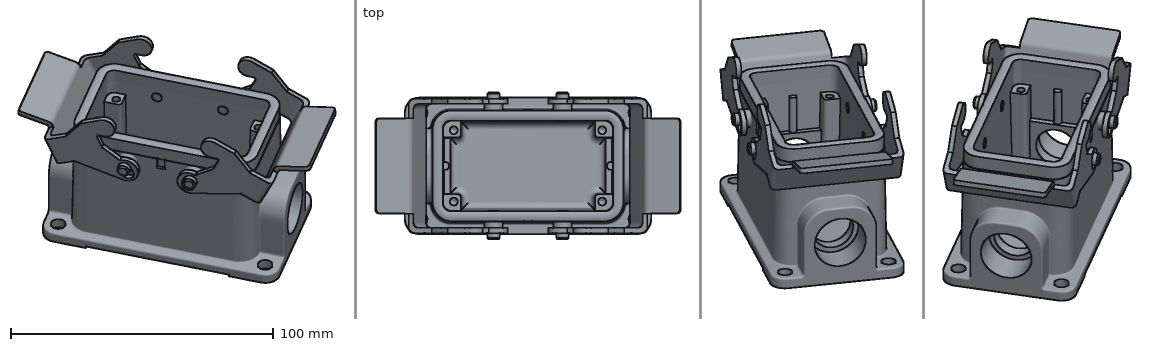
import cadquery as cq
import math

PLATE_LENGTH = 94.0
PLATE_WIDTH = 52.2
PLATE_HEIGHT = 4.2
PLATE_CORNER_RADIUS = 5.8
PLATE_EDGE_RADIUS = 0.8
RELIEF_LENGTH = 57.0
RELIEF_DEPTH = 0.8
MOUNT_HOLE_DIAMETER = 5.6
MOUNT_HOLE_X = PLATE_LENGTH / 2 - PLATE_CORNER_RADIUS
MOUNT_HOLE_Y = PLATE_WIDTH / 2 - PLATE_CORNER_RADIUS

BODY_LENGTH = 74.6
BODY_WIDTH = 44.2
BODY_CORNER_RADIUS = 8.0
DRAFT_ANGLE = 1.0
SHOULDER_Z = 47.8
BODY_BASE_Z = PLATE_HEIGHT / 2
RIM_STEP = 0.2
RIM_SET_BACK = (SHOULDER_Z - BODY_BASE_Z) * math.tan(math.radians(DRAFT_ANGLE)) + RIM_STEP
RIM_LENGTH = BODY_LENGTH - 2 * RIM_SET_BACK
RIM_WIDTH = BODY_WIDTH - 2 * RIM_SET_BACK
RIM_CORNER_RADIUS = BODY_CORNER_RADIUS - RIM_SET_BACK
RIM_WALL = 3.8
RIM_EDGE_Z = 53.35
RIM_CROWN = 0.5
RIM_TOP_Z = RIM_EDGE_Z + RIM_CROWN
BODY_FOOT_RADIUS = 0.6

ENTRY_WIDTH = 28.6
ENTRY_TOP_Z = 31.7
ENTRY_CORNER_RADIUS = 10.1
ENTRY_FOOT_RADIUS = 1.0
BORE_Z = 17.2
BORE_DIAMETER = 20.0
BORE_DEPTH = 12.6
PASSAGE_DIAMETER = 16.0

CAVITY_LENGTH = RIM_LENGTH - 2 * RIM_WALL
CAVITY_WIDTH = RIM_WIDTH - 2 * RIM_WALL
CAVITY_CORNER_RADIUS = RIM_CORNER_RADIUS - RIM_WALL
CAVITY_DRAFT_ANGLE = 1.5
FLOOR_Z = 4.0
FLOOR_RADIUS = 2.4
POST_TOP_Z = 42.2
POST_INNER_X = 24.9
POST_INNER_Y = 10.2
POST_CORNER_RADIUS = 1.9
POST_DRAFT_ANGLE = 1.0
SCREW_HOLE_X = 28.3
SCREW_HOLE_Y = 13.6
SCREW_HOLE_DIAMETER = 3.0
SCREW_HOLE_DEPTH = 12.0
DRILL_POINT_ANGLE = 118.0
LEDGE_INNER_X = 29.3
LEDGE_TOP_Z = 27.5
GUIDE_RIB_DIAMETER = 3.0
GUIDE_RIB_X = 31.6

PIN_X = 13.15
PIN_Z = 44.0
PIN_DIAMETER = 4.8
PIN_SPAN = 56.06
PIN_CHAMFER = 0.6
PIN_INNER_DIAMETER = 4.0
PIN_INNER_Y = CAVITY_WIDTH / 2 - 0.25
PIVOT_BOSS_DIAMETER = 7.0
PIVOT_FOOT_RADIUS = 0.4
NOTCH_WIDTH = 3.2
NOTCH_HEIGHT = 4.5
NOTCH_DEPTH = 1.0

SHEET = 2.0
LEVER_WIDTH = 51.2
LEVER_INNER_Y = LEVER_WIDTH / 2 - SHEET
LEVER_TILT = 24.0
WEB_TOP = (-45.5, 49.9)
WEB_HEIGHT = 11.9
BEND_RADIUS = 2.0
HANDLE_WIDTH = 36.3
HANDLE_TIP_X = -58.205
HANDLE_SLOPE = 12.0
LEFT_HANDLE_RISE = 1.15
RIGHT_HANDLE_RISE = 1.6
HANDLE_BEND_RADIUS = 0.7
HANDLE_CORNER_RADIUS = 1.5
EYE_CENTER = (-12.8, 42.7)
EYE_RADIUS = 5.0
SLOT_WIDTH = 5.0
SLOT_END = (-12.0, 41.5)
HOOK_CENTER = (-21.2, 61.84)
HOOK_RADIUS = 4.0
HOOK_SHOULDER = (-30.6, 61.9)
ARM_TOP_EDGE = 9.6
HOOK_THROAT = (-24.7, HOOK_CENTER[1] - HOOK_RADIUS)
THROAT_RADIUS = 1.0
THROAT_LOWER = (-22.15, 52.1)
EYE_MEETING = (-15.0, 47.2)
ARM_LOWER_EDGE = 8.2


def rounded_block(length, width, radius, bottom_z, top_z, draft=0.0):
    """Upright block with rounded corners, narrowing upward by the draft angle."""
    outline = cq.Sketch().rect(length, width).vertices().fillet(radius)
    block = cq.Workplane("XY").placeSketch(outline).extrude(top_z - bottom_z, taper=draft)
    return block.translate((0, 0, bottom_z))


def y_cylinder(x, z, diameter, start_y, end_y):
    """Cylinder along Y between two Y positions."""
    disc = cq.Workplane("XZ", origin=(x, start_y, z)).circle(diameter / 2)
    return disc.extrude(start_y - end_y)


def x_cylinder(diameter, start_x, end_x):
    """Cylinder along X on the cable entry axis."""
    disc = cq.Workplane("YZ", origin=(start_x, 0, BORE_Z)).circle(diameter / 2)
    return disc.extrude(end_x - start_x)


def base_with_entries():
    """Mounting plate with the arched cable entries flush with both of its ends."""
    base = rounded_block(PLATE_LENGTH, PLATE_WIDTH, PLATE_CORNER_RADIUS, 0, PLATE_HEIGHT)
    entries = (
        cq.Workplane("YZ")
        .center(0, ENTRY_TOP_Z / 2)
        .rect(ENTRY_WIDTH, ENTRY_TOP_Z)
        .extrude(PLATE_LENGTH / 2, both=True)
        .edges("|X and >Z")
        .fillet(ENTRY_CORNER_RADIUS)
    )
    base = base.union(entries)
    foot_edges = cq.selectors.BoxSelector(
        (-PLATE_LENGTH, -ENTRY_WIDTH / 2 - 0.1, PLATE_HEIGHT - 0.1),
        (PLATE_LENGTH, ENTRY_WIDTH / 2 + 0.1, PLATE_HEIGHT + 0.1),
    )
    base = base.edges("|X").edges(foot_edges).fillet(ENTRY_FOOT_RADIUS)
    upper_edges = cq.selectors.BoxSelector(
        (-PLATE_LENGTH, -PLATE_WIDTH, PLATE_HEIGHT - 0.1),
        (PLATE_LENGTH, PLATE_WIDTH, ENTRY_TOP_Z + 0.1),
    )
    rim_edges = base.edges("<X or >X or <Y or >Y").edges(upper_edges)
    return rim_edges.fillet(PLATE_EDGE_RADIUS)


def rim_crown():
    """Shallow arched cap that runs around the top of the rim."""
    middle_y = (RIM_WIDTH - RIM_WALL) / 2
    middle_line = cq.Sketch().rect(RIM_LENGTH - RIM_WALL, RIM_WIDTH - RIM_WALL)
    middle_line = middle_line.vertices().fillet(RIM_CORNER_RADIUS - RIM_WALL / 2)
    path = cq.Workplane("XY", origin=(0, 0, RIM_EDGE_Z)).placeSketch(middle_line).extrude(1).faces("<Z").wires()
    crown = (
        cq.Workplane("YZ")
        .moveTo(-middle_y - RIM_WALL / 2, RIM_EDGE_Z)
        .threePointArc((-middle_y, RIM_TOP_Z), (-middle_y + RIM_WALL / 2, RIM_EDGE_Z))
        .close()
    )
    return crown.sweep(path)


def walls():
    """Drafted housing walls with the slightly set-back rim on top."""
    body = rounded_block(BODY_LENGTH, BODY_WIDTH, BODY_CORNER_RADIUS, BODY_BASE_Z, SHOULDER_Z, DRAFT_ANGLE)
    rim = rounded_block(RIM_LENGTH, RIM_WIDTH, RIM_CORNER_RADIUS, SHOULDER_Z, RIM_EDGE_Z)
    return body.union(rim)


def cavity():
    """Open space inside the walls: a drafted pocket less the posts, ledges and guide ribs."""
    inset = (SHOULDER_Z - FLOOR_Z) * math.tan(math.radians(CAVITY_DRAFT_ANGLE))
    space = rounded_block(
        CAVITY_LENGTH - 2 * inset,
        CAVITY_WIDTH - 2 * inset,
        CAVITY_CORNER_RADIUS - inset,
        FLOOR_Z,
        SHOULDER_Z,
        -CAVITY_DRAFT_ANGLE,
    )
    for side_x in (-1, 1):
        ledge = (
            cq.Workplane("XY", origin=(side_x * (LEDGE_INNER_X + CAVITY_WIDTH), 0, FLOOR_Z))
            .rect(2 * CAVITY_WIDTH, 2 * CAVITY_WIDTH)
            .extrude(LEDGE_TOP_Z - FLOOR_Z, taper=POST_DRAFT_ANGLE)
        )
        space = space.cut(ledge)
        for side_y in (-1, 1):
            post = rounded_block(
                CAVITY_WIDTH, CAVITY_WIDTH, POST_CORNER_RADIUS, FLOOR_Z, POST_TOP_Z, POST_DRAFT_ANGLE
            )
            center_x = side_x * (POST_INNER_X + CAVITY_WIDTH / 2)
            center_y = side_y * (POST_INNER_Y + CAVITY_WIDTH / 2)
            space = space.cut(post.translate((center_x, center_y, 0)))
    space = space.faces("<Z").edges().fillet(FLOOR_RADIUS)
    for side_x in (-1, 1):
        guide_rib = (
            cq.Workplane("XY", origin=(side_x * GUIDE_RIB_X, 0, LEDGE_TOP_Z))
            .circle(GUIDE_RIB_DIAMETER / 2)
            .extrude(POST_TOP_Z - LEDGE_TOP_Z)
        )
        space = space.cut(guide_rib)
    opening = rounded_block(CAVITY_LENGTH, CAVITY_WIDTH, CAVITY_CORNER_RADIUS, SHOULDER_Z, RIM_EDGE_Z)
    return space.union(opening)


def screw_hole():
    """Blind drilled hole, pointing down, with its mouth at the origin."""
    radius = SCREW_HOLE_DIAMETER / 2
    point_height = radius / math.tan(math.radians(DRILL_POINT_ANGLE / 2))
    profile = [
        (0, 0),
        (radius, 0),
        (radius, -SCREW_HOLE_DEPTH),
        (0, -SCREW_HOLE_DEPTH - point_height),
    ]
    return cq.Workplane("XZ").polyline(profile).close().revolve(360, (0, 0), (0, 1))


def make_housing():
    """Housing with base, walls, cavity, cable entries and the integral pivot pins."""
    housing = base_with_entries().union(walls())

    foot_z = PLATE_HEIGHT
    foot = cq.selectors.BoxSelector(
        (-BODY_LENGTH / 2, -BODY_WIDTH / 2 - 0.2, foot_z - 0.1),
        (BODY_LENGTH / 2, BODY_WIDTH / 2 + 0.2, foot_z + 0.1),
    )
    housing = housing.edges(foot).fillet(BODY_FOOT_RADIUS)

    housing = housing.cut(cavity()).union(rim_crown())

    relief = cq.Workplane("XY").box(RELIEF_LENGTH, PLATE_WIDTH, 2 * RELIEF_DEPTH)
    mount_holes = (
        cq.Workplane("XY")
        .rect(2 * MOUNT_HOLE_X, 2 * MOUNT_HOLE_Y, forConstruction=True)
        .vertices()
        .circle(MOUNT_HOLE_DIAMETER / 2)
        .extrude(2 * PLATE_HEIGHT)
    )
    housing = housing.cut(relief).cut(mount_holes)

    for side_x in (-1, 1):
        end_x = side_x * PLATE_LENGTH / 2
        housing = housing.cut(x_cylinder(BORE_DIAMETER, end_x, end_x - side_x * BORE_DEPTH))
        housing = housing.cut(x_cylinder(PASSAGE_DIAMETER, end_x, side_x * POST_INNER_X))
        for side_y in (-1, 1):
            hole = screw_hole().translate((side_x * SCREW_HOLE_X, side_y * SCREW_HOLE_Y, POST_TOP_Z))
            housing = housing.cut(hole)
            housing = housing.union(pivot(side_x * PIN_X, side_y))

    wall_foot = cq.selectors.BoxSelector(
        (-2 * PIN_X, -BODY_WIDTH / 2, PIN_Z - 0.1), (2 * PIN_X, BODY_WIDTH / 2, PIN_Z + 0.1)
    ) - cq.selectors.BoxSelector(
        (-2 * PIN_X, -CAVITY_WIDTH / 2 - 0.5, 0), (2 * PIN_X, CAVITY_WIDTH / 2 + 0.5, RIM_TOP_Z)
    )
    housing = housing.edges(wall_foot).fillet(PIVOT_FOOT_RADIUS)

    notch_bottom_y = BODY_WIDTH / 2 - SHOULDER_Z * math.tan(math.radians(DRAFT_ANGLE)) - NOTCH_DEPTH
    for side_y in (-1, 1):
        notch = cq.Workplane("XY").box(NOTCH_WIDTH, 2 * NOTCH_DEPTH, NOTCH_HEIGHT)
        housing = housing.cut(
            notch.translate((0, side_y * (notch_bottom_y + NOTCH_DEPTH), SHOULDER_Z - NOTCH_HEIGHT / 2))
        )
    return housing


def pivot(x, side_y):
    """Round boss and chamfered pin on one long wall, the pin root showing inside the wall."""
    wall_middle_y = (BODY_WIDTH + CAVITY_WIDTH) / 4
    boss = y_cylinder(x, PIN_Z, PIVOT_BOSS_DIAMETER, side_y * wall_middle_y, side_y * LEVER_INNER_Y)
    pin = y_cylinder(x, PIN_Z, PIN_DIAMETER, side_y * wall_middle_y, side_y * PIN_SPAN / 2)
    tip = "<Y" if side_y < 0 else ">Y"
    pin = pin.faces(tip).chamfer(PIN_CHAMFER)
    root = y_cylinder(x, PIN_Z, PIN_INNER_DIAMETER, side_y * PIN_INNER_Y, side_y * wall_middle_y)
    return boss.union(pin).union(root)


def shift(point, angle, distance):
    """Point moved by a distance in the direction of an angle, in degrees."""
    direction = math.radians(angle)
    return (point[0] + distance * math.cos(direction), point[1] + distance * math.sin(direction))


def lever_plate(outline, start_y, end_y):
    """Extrude a closed XZ outline between two Y positions."""
    return outline.extrude(end_y - start_y).translate((0, end_y, 0))


def arm_outline(web_bottom):
    """Side outline of an arm: web end, hook and pivot eye."""
    lower_bend = shift(web_bottom, LEVER_TILT, ARM_LOWER_EDGE)
    top_direction = math.degrees(
        math.atan2(HOOK_CENTER[1] - HOOK_SHOULDER[1], HOOK_CENTER[0] - HOOK_SHOULDER[0])
    )
    reach = math.dist(HOOK_CENTER, HOOK_SHOULDER)
    hook_turn = math.degrees(math.acos(HOOK_RADIUS / reach))
    hook_start = shift(HOOK_CENTER, top_direction + 180 - hook_turn, HOOK_RADIUS)
    hook_end = (HOOK_CENTER[0], HOOK_CENTER[1] - HOOK_RADIUS)
    eye_direction = math.degrees(
        math.atan2(EYE_CENTER[1] - lower_bend[1], EYE_CENTER[0] - lower_bend[0])
    )
    eye_reach = math.dist(EYE_CENTER, lower_bend)
    eye_turn = math.degrees(math.acos(EYE_RADIUS / eye_reach))
    eye_end = shift(EYE_CENTER, eye_direction + 180 + eye_turn, EYE_RADIUS)
    return (
        cq.Workplane("XZ")
        .moveTo(*web_bottom)
        .lineTo(*WEB_TOP)
        .lineTo(*shift(WEB_TOP, LEVER_TILT, ARM_TOP_EDGE))
        .lineTo(*HOOK_SHOULDER)
        .lineTo(*hook_start)
        .threePointArc((HOOK_CENTER[0] + HOOK_RADIUS, HOOK_CENTER[1]), hook_end)
        .lineTo(*HOOK_THROAT)
        .lineTo(*THROAT_LOWER)
        .lineTo(*EYE_MEETING)
        .threePointArc((EYE_CENTER[0] + EYE_RADIUS, EYE_CENTER[1]), eye_end)
        .lineTo(*lower_bend)
        .close()
    )


def make_lever(handle_rise):
    """Bent sheet lever in its -X place: two hooked arms, a cross web and a handle."""
    web_bottom = shift(WEB_TOP, LEVER_TILT - 90, WEB_HEIGHT)
    half_width = LEVER_WIDTH / 2

    web_points = [
        WEB_TOP,
        web_bottom,
        shift(web_bottom, LEVER_TILT, SHEET),
        shift(WEB_TOP, LEVER_TILT, SHEET),
    ]
    web = cq.Workplane("XZ").polyline(web_points).close()
    lever = lever_plate(web, -half_width, half_width)
    for side_y in (-1, 1):
        arm = lever_plate(arm_outline(web_bottom), 0, SHEET)
        arm = arm.translate((0, side_y * (half_width - SHEET / 2) - SHEET / 2, 0))
        throat = cq.selectors.NearestToPointSelector((HOOK_THROAT[0], side_y * half_width, HOOK_THROAT[1]))
        lever = lever.union(arm.edges("|Y").edges(throat).fillet(THROAT_RADIUS))

    web_axis = math.radians(LEVER_TILT - 90)
    along_web = cq.selectors.ParallelDirSelector(cq.Vector(math.cos(web_axis), 0, math.sin(web_axis)))
    outer_bends = cq.selectors.BoxSelector(
        (HANDLE_TIP_X, -half_width - 0.1, 0), (WEB_TOP[0] / 2, -half_width + 0.1, RIM_TOP_Z)
    ) + cq.selectors.BoxSelector(
        (HANDLE_TIP_X, half_width - 0.1, 0), (WEB_TOP[0] / 2, half_width + 0.1, RIM_TOP_Z)
    )
    inner_bends = cq.selectors.BoxSelector(
        (HANDLE_TIP_X, -half_width + SHEET / 2, 0), (WEB_TOP[0] / 2, half_width - SHEET / 2, RIM_TOP_Z)
    )
    lever = lever.edges(along_web).edges(inner_bends).fillet(BEND_RADIUS)
    lever = lever.edges(along_web).edges(outer_bends).fillet(BEND_RADIUS)

    lever = lever.union(make_handle(handle_rise))

    travel = (SLOT_END[0] + PIN_X, SLOT_END[1] - PIN_Z)
    slot = (
        cq.Workplane("XZ", origin=(-PIN_X + travel[0] / 2, LEVER_WIDTH, PIN_Z + travel[1] / 2))
        .slot2D(math.hypot(*travel) + SLOT_WIDTH, SLOT_WIDTH, math.degrees(math.atan2(travel[1], travel[0])))
        .extrude(2 * LEVER_WIDTH)
    )
    return lever.cut(slot)


def make_handle(handle_rise):
    """Finger plate bent outward from the top of the web."""
    outward = 180 - HANDLE_SLOPE
    root_lower = shift(WEB_TOP, LEVER_TILT + 90, handle_rise)
    half_turn = (outward - LEVER_TILT - 90) / 2
    root_upper = shift(root_lower, LEVER_TILT + half_turn, SHEET / math.cos(math.radians(half_turn)))
    tip_length = (root_lower[0] - HANDLE_TIP_X) / math.cos(math.radians(HANDLE_SLOPE))
    tip_lower = shift(root_lower, outward, tip_length)
    tip_upper = shift(tip_lower, outward - 90, SHEET)
    web_outer = shift(WEB_TOP, LEVER_TILT - 90, SHEET / 2)
    handle_points = [
        web_outer,
        root_lower,
        tip_lower,
        tip_upper,
        root_upper,
        shift(web_outer, LEVER_TILT, SHEET),
    ]
    outline = cq.Workplane("XZ").polyline(handle_points).close()
    handle = lever_plate(outline, -HANDLE_WIDTH / 2, HANDLE_WIDTH / 2)
    lower_bend = cq.selectors.NearestToPointSelector((root_lower[0], 0, root_lower[1]))
    upper_bend = cq.selectors.NearestToPointSelector((root_upper[0], 0, root_upper[1]))
    handle = handle.edges(upper_bend).fillet(HANDLE_BEND_RADIUS + SHEET)
    handle = handle.edges(lower_bend).fillet(HANDLE_BEND_RADIUS)
    tip_edges = cq.selectors.BoxSelector(
        (HANDLE_TIP_X - SHEET, -HANDLE_WIDTH, tip_lower[1]), (HANDLE_TIP_X + SHEET, HANDLE_WIDTH, tip_upper[1])
    )
    return handle.edges("not |Y").edges(tip_edges).fillet(HANDLE_CORNER_RADIUS)


housing = make_housing()
left_lever = make_lever(LEFT_HANDLE_RISE)
right_lever = make_lever(RIGHT_HANDLE_RISE).mirror("YZ")

result = cq.Compound.makeCompound([housing.val(), left_lever.val(), right_lever.val()])